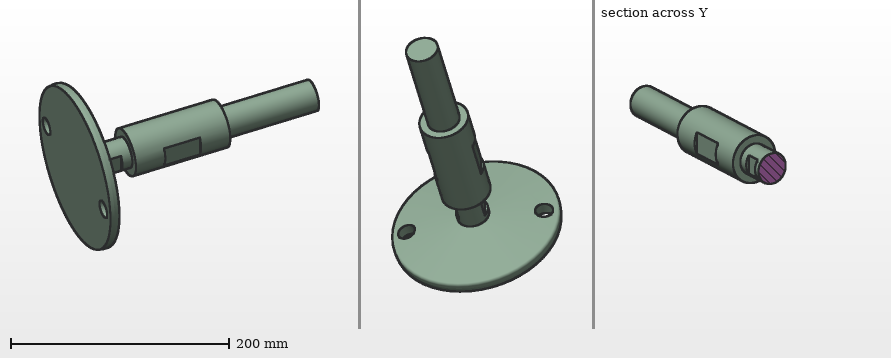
import cadquery as cq
import math

PLATE_DIAMETER = 158.0
BASE_DIAMETER = 156.6
TAPER_HEIGHT = 4.2
CONE_EDGE_HEIGHT = 9.4
CONE_TOP_HEIGHT = 20.2
RIM_FILLET = 2.7

STUD_DIAMETER = 30.0
TOTAL_HEIGHT = 239.0
STUD_FLATS_WIDTH = 24.0
STUD_FLATS_START = 26.0
STUD_FLATS_LENGTH = 15.0

COLLAR_DIAMETER = 46.0
COLLAR_START = 51.0
COLLAR_LENGTH = 95.0
COLLAR_FLATS_WIDTH = 41.0
COLLAR_FLATS_LENGTH = 36.0
COLLAR_FLATS_START = COLLAR_START + (COLLAR_LENGTH - COLLAR_FLATS_LENGTH) / 2

HOLE_DIAMETER = 16.5
HOLE_OFFSET = 64.5

plate_radius = PLATE_DIAMETER / 2
stud_radius = STUD_DIAMETER / 2
cone_slope = (CONE_TOP_HEIGHT - CONE_EDGE_HEIGHT) / (plate_radius - stud_radius)
cone_angle = math.atan(cone_slope)


def cylinder(diameter, start, length):
    """Cylinder along +Y, starting at the given height above the underside."""
    plane = cq.Plane(origin=(0, start, 0), xDir=(1, 0, 0), normal=(0, 1, 0))
    return cq.Workplane(plane).circle(diameter / 2).extrude(length)


def cut_flats(body, diameter, across_flats, start, length):
    """Cut two parallel wrench flats, one on each X side of a round body."""
    for side in (-1, 1):
        cutter = cq.Workplane("XY").box(diameter, length, diameter).translate(
            (side * (across_flats + diameter) / 2, start + length / 2, 0)
        )
        body = body.cut(cutter)
    return body


def make_plate_blank():
    """Turn the rim and cone, rounding the corner between them."""
    middle_angle = (math.pi / 2 - cone_angle) / 2
    tangent_length = RIM_FILLET * math.tan(middle_angle)
    round_centre_x = plate_radius - RIM_FILLET
    round_start_y = CONE_EDGE_HEIGHT - tangent_length

    def round_point(angle):
        return (
            round_centre_x + RIM_FILLET * math.cos(angle),
            round_start_y + RIM_FILLET * math.sin(angle),
        )

    return (
        cq.Workplane("XY")
        .lineTo(BASE_DIAMETER / 2, 0)
        .lineTo(plate_radius, TAPER_HEIGHT)
        .lineTo(plate_radius, round_start_y)
        .threePointArc(round_point(middle_angle), round_point(2 * middle_angle))
        .lineTo(stud_radius, CONE_TOP_HEIGHT)
        .lineTo(0, CONE_TOP_HEIGHT)
        .close()
        .revolve(360, (0, 0, 0), (0, 1, 0))
    )


def make_bolt_hole(side):
    """Cutter through the plate, square to the cone on the given X side."""
    reach = CONE_TOP_HEIGHT
    surface_height = CONE_EDGE_HEIGHT + (plate_radius - HOLE_OFFSET) * cone_slope
    axis = cq.Vector(side * math.sin(cone_angle), math.cos(cone_angle), 0)
    start = cq.Vector(side * HOLE_OFFSET, surface_height, 0) - axis * reach
    return cq.Workplane(
        cq.Solid.makeCylinder(HOLE_DIAMETER / 2, 2 * reach, start, axis)
    )


def make_foot_plate():
    """Turned plate with a bolt hole on each X side."""
    plate = make_plate_blank()
    for side in (-1, 1):
        plate = plate.cut(make_bolt_hole(side))
    return plate


def make_spindle():
    """Stud with its thicker collar, standing on the plate; both carry wrench flats."""
    stud = cylinder(STUD_DIAMETER, CONE_TOP_HEIGHT, TOTAL_HEIGHT - CONE_TOP_HEIGHT)
    stud = cut_flats(stud, STUD_DIAMETER, STUD_FLATS_WIDTH, STUD_FLATS_START, STUD_FLATS_LENGTH)
    collar = cylinder(COLLAR_DIAMETER, COLLAR_START, COLLAR_LENGTH)
    collar = cut_flats(
        collar, COLLAR_DIAMETER, COLLAR_FLATS_WIDTH, COLLAR_FLATS_START, COLLAR_FLATS_LENGTH
    )
    return stud.union(collar)


foot_plate = make_foot_plate()
spindle = make_spindle()
result = cq.Compound.makeCompound([foot_plate.val(), spindle.val()])